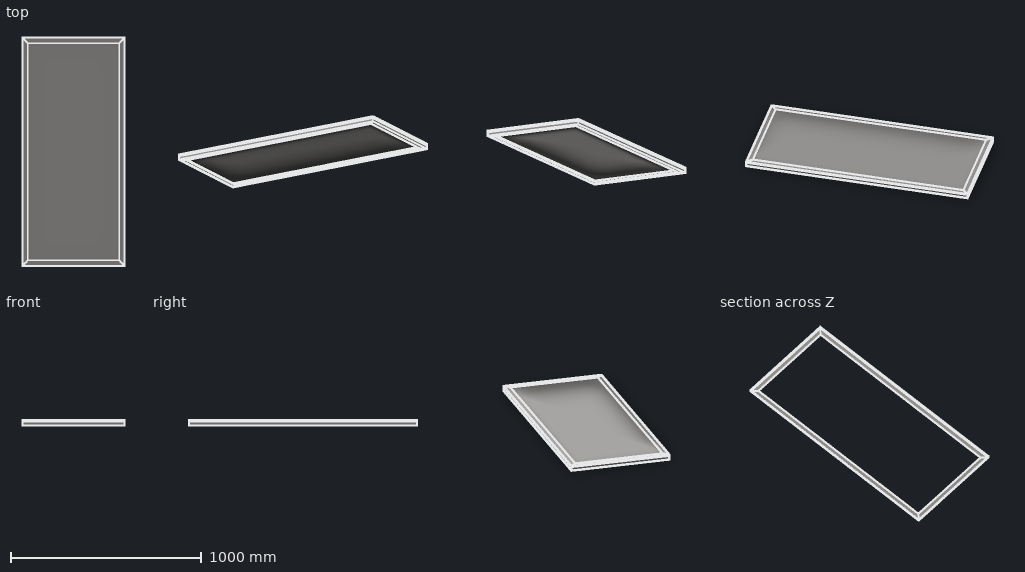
import cadquery as cq

WIDTH = 540.0
LENGTH = 1200.0
HEIGHT = 30.0

RAIL_WIDTH = 30.0
WALL = 3.0

INSIDE_WIDTH = WIDTH - 2 * WALL
INSIDE_LENGTH = LENGTH - 2 * WALL

TOP_SHEET_THICKNESS = 4.0
LOWER_SHEET_THICKNESS = 3.0
TOP_SHEET_Z = HEIGHT - WALL - TOP_SHEET_THICKNESS
LOWER_SHEET_Z = TOP_SHEET_Z - LOWER_SHEET_THICKNESS

CORNERS = [(-1, -1), (1, -1), (1, 1), (-1, 1)]


def make_block(width, length, bottom, height):
    """Rectangular block centred on the Z axis, standing on the given level."""
    return cq.Workplane("XY").workplane(offset=bottom).rect(width, length).extrude(height)


def corner_point(corner, inset):
    """Corner of the frame outline, moved inwards by the inset on both axes."""
    side_x, side_y = corner
    return side_x * (WIDTH / 2 - inset), side_y * (LENGTH / 2 - inset)


def make_rail(start_corner, end_corner):
    """Channel along one side, open towards the middle and mitred at both ends."""
    mitred_bar = (
        cq.Workplane("XY")
        .polyline([
            corner_point(start_corner, 0),
            corner_point(end_corner, 0),
            corner_point(end_corner, RAIL_WIDTH),
            corner_point(start_corner, RAIL_WIDTH),
        ])
        .close()
        .extrude(HEIGHT)
    )
    channel = make_block(INSIDE_WIDTH, INSIDE_LENGTH, WALL, HEIGHT - 2 * WALL)
    return mitred_bar.cut(channel).solids()


def make_sheet(bottom, thickness):
    """Flat sheet filling the space between the webs."""
    return make_block(INSIDE_WIDTH, INSIDE_LENGTH, bottom, thickness)


rails = []
for index, corner in enumerate(CORNERS):
    next_corner = CORNERS[(index + 1) % len(CORNERS)]
    rails.append(make_rail(corner, next_corner))

top_sheet = make_sheet(TOP_SHEET_Z, TOP_SHEET_THICKNESS)
lower_sheet = make_sheet(LOWER_SHEET_Z, LOWER_SHEET_THICKNESS)

result = cq.Compound.makeCompound(
    [rail.val() for rail in rails] + [top_sheet.val(), lower_sheet.val()]
)